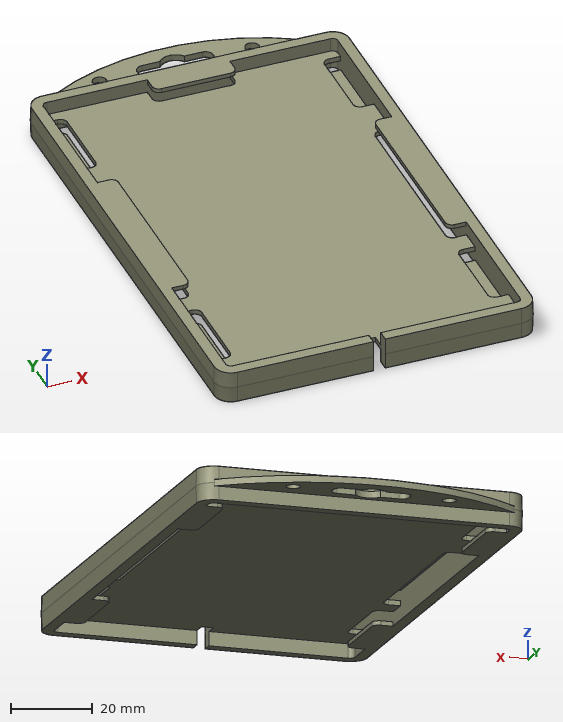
import cadquery as cq

WIDTH = 83.88
OVERALL_LENGTH = 142.43
HEIGHT = 8.59
LUG_RISE = 12.84
LENGTH = OVERALL_LENGTH - LUG_RISE

HALF_HEIGHT = HEIGHT / 2
WALL = 3.17
CORNER_RADIUS = 4.5
CAVITY_RADIUS = 1.4
FLOOR_THICKNESS = 1.3
DRAFT_ANGLE = 2.0
CAVITY_WIDTH = WIDTH - 2 * WALL
CAVITY_LENGTH = LENGTH - 2 * WALL
CAVITY_TOP = CAVITY_LENGTH / 2
CAVITY_SIDE = CAVITY_WIDTH / 2

TAB_THICKNESS = 1.12
TAB_REACH = 4.85
TAB_RADIUS = 1.8
SHORT_TAB_LENGTH = 21.8
LONG_TAB_LENGTH = 49.3
WINDOW_CLEARANCE = 0.25
UPPER_SHORT_TAB_GAP = 3.3
LOWER_SHORT_TAB_GAP = 9.1

LUG_THICKNESS = 1.7
LUG_ROOT = 1.8
LUG_HALF_CHORD = 38.4
LUG_RADIUS = (LUG_HALF_CHORD**2 + LUG_RISE**2) / (2 * LUG_RISE)
HOLE_LINE = LENGTH / 2 + 5.3
CORD_HOLE_DIAMETER = 3.6
CORD_HOLE_SPACING = 40.2
STRAP_SLOT_LENGTH = 20.0
STRAP_SLOT_HEIGHT = 4.95
STRAP_SLOT_RADIUS = 2.0
BUTTON_HOLE_DIAMETER = 8.1

NOTCH_WIDTH = 3.1
NOTCH_DEPTH = 6.7


def slab(width, length, radius, bottom, thickness):
    """Plate with rounded corners, centred on the Z axis."""
    plate = cq.Workplane("XY").box(width, length, thickness, centered=(True, True, False))
    return plate.edges("|Z").fillet(radius).translate((0, 0, bottom))


def frame_half(direction):
    """Solid half of the frame, drafted away from the mid-plane."""
    outline = cq.Sketch().rect(WIDTH, LENGTH).vertices().fillet(CORNER_RADIUS)
    return cq.Workplane("XY").placeSketch(outline).extrude(direction * HALF_HEIGHT, taper=DRAFT_ANGLE)


def tab_shape(length, bottom, thickness):
    """Tab standing on the X = 0 line and reaching toward +X, with its free corners rounded."""
    root = WALL / 2
    tab = cq.Workplane("XY").box(TAB_REACH + root, length, thickness, centered=(False, True, False))
    return tab.edges("|Z and >X").fillet(TAB_RADIUS).translate((-root, 0, bottom))


def window_shape(length):
    """Floor opening facing a tab, standing on the X = 0 line."""
    opening = cq.Workplane("XY").box(TAB_REACH, length, FLOOR_THICKNESS, centered=(False, True, True))
    return opening.edges("|Z and >X").fillet(TAB_RADIUS)


def on_side(shape, side, y):
    """Move a tab or window to the left (-1) or right (+1) cavity wall."""
    turn = 0 if side < 0 else 180
    return shape.rotate((0, 0, 0), (0, 0, 1), turn).translate((side * CAVITY_SIDE, y, 0))


def on_lug_end(shape):
    """Move a tab or window to the cavity wall next to the lug."""
    return shape.rotate((0, 0, 0), (0, 0, 1), -90).translate((0, CAVITY_TOP, 0))


def make_frame():
    frame = frame_half(1).union(frame_half(-1))
    cavity_depth = HALF_HEIGHT - FLOOR_THICKNESS / 2
    for bottom in (FLOOR_THICKNESS / 2, -HALF_HEIGHT):
        frame = frame.cut(slab(CAVITY_WIDTH, CAVITY_LENGTH, CAVITY_RADIUS, bottom, cavity_depth))
    return frame


def make_lug():
    center_y = LENGTH / 2 + LUG_RISE - LUG_RADIUS
    disc = cq.Workplane("XY").circle(LUG_RADIUS).extrude(LUG_THICKNESS)
    disc = disc.translate((0, center_y, -LUG_THICKNESS / 2))
    keep_height = LUG_RISE + LUG_ROOT
    keep = cq.Workplane("XY").box(WIDTH, keep_height, HEIGHT, centered=(True, False, True))
    lug = disc.intersect(keep.translate((0, LENGTH / 2 - LUG_ROOT, 0)))

    strap_slot = slab(STRAP_SLOT_LENGTH, STRAP_SLOT_HEIGHT, STRAP_SLOT_RADIUS, -HALF_HEIGHT, HEIGHT)
    button_hole = cq.Workplane("XY").circle(BUTTON_HOLE_DIAMETER / 2).extrude(HALF_HEIGHT, both=True)
    cord_holes = (
        cq.Workplane("XY")
        .rarray(CORD_HOLE_SPACING, 1, 2, 1)
        .circle(CORD_HOLE_DIAMETER / 2)
        .extrude(HALF_HEIGHT, both=True)
    )
    openings = strap_slot.union(button_hole).union(cord_holes)
    return lug.cut(openings.translate((0, HOLE_LINE, 0)))


def add_tabs(body):
    """Add upper and lower retaining tabs and open the floor opposite each one."""
    upper = HALF_HEIGHT - TAB_THICKNESS
    lower = -HALF_HEIGHT
    side_tabs = (
        (0, LONG_TAB_LENGTH, upper),
        (CAVITY_TOP - UPPER_SHORT_TAB_GAP - SHORT_TAB_LENGTH / 2, SHORT_TAB_LENGTH, lower),
        (-CAVITY_TOP + LOWER_SHORT_TAB_GAP + SHORT_TAB_LENGTH / 2, SHORT_TAB_LENGTH, lower),
    )
    for y, length, bottom in side_tabs:
        for side in (-1, 1):
            body = body.cut(on_side(window_shape(length + 2 * WINDOW_CLEARANCE), side, y))
            body = body.union(on_side(tab_shape(length, bottom, TAB_THICKNESS), side, y))
    body = body.cut(on_lug_end(window_shape(SHORT_TAB_LENGTH)))
    return body.union(on_lug_end(tab_shape(SHORT_TAB_LENGTH, upper, TAB_THICKNESS)))


def cut_notch(body):
    notch = cq.Workplane("XY").box(NOTCH_WIDTH, NOTCH_DEPTH, HEIGHT, centered=(True, False, True))
    return body.cut(notch.translate((0, -LENGTH / 2, 0)))


result = cut_notch(add_tabs(make_frame().union(make_lug())))